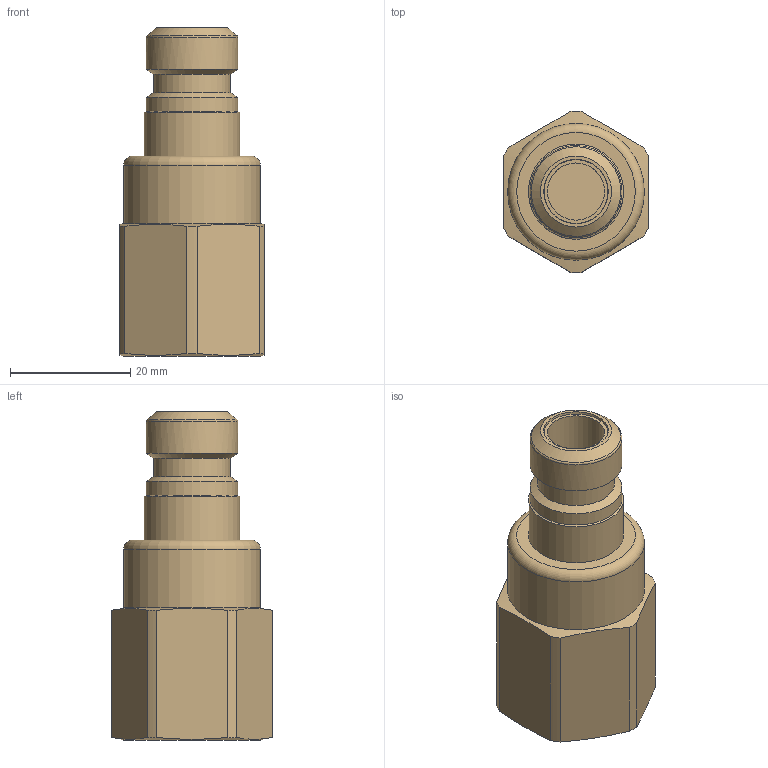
import cadquery as cq
import math

total_height = 54.5

hex_across_flats = 24.0
hex_corner_diameter = 26.8
hex_height = 22.0
hex_chamfer_angle = 12.0

shoulder_diameter = 22.7
shoulder_top = 33.2
shoulder_round = 1.5

barrel_diameter = 15.8
barrel_top = 40.5
barrel_bevel_height = 0.15
collar_diameter = 15.25
neck_diameter = 12.8
neck_bottom = 43.75
neck_top = 46.8
neck_flank_height = 0.8

nose_rim_diameter = 11.8
nose_cone_height = 1.4
nose_blend_radius = 0.5

mouth_diameter = 10.7
ledge_diameter = 10.6
ledge_depth = 0.4
bore_diameter = 9.5
bore_bottom = shoulder_top


def cylinder(diameter, bottom, top):
    return cq.Workplane("XY").workplane(offset=bottom).circle(diameter / 2).extrude(top - bottom)


def make_hex_base():
    """Hexagon with flats facing +X and -X, corners turned round, ends chamfered by a shallow cone."""
    prism = (
        cq.Workplane("XY")
        .polygon(6, hex_across_flats, circumscribed=True)
        .extrude(hex_height)
    )
    corner_radius = hex_corner_diameter / 2
    face_radius = shoulder_diameter / 2
    chamfer_drop = (corner_radius - face_radius) * math.tan(math.radians(hex_chamfer_angle))
    envelope = (
        cq.Workplane("XZ")
        .lineTo(face_radius, 0)
        .lineTo(corner_radius, chamfer_drop)
        .lineTo(corner_radius, hex_height - chamfer_drop)
        .lineTo(face_radius, hex_height)
        .lineTo(0, hex_height)
        .close()
        .revolve(360, (0, 0, 0), (0, 1, 0))
    )
    return prism.intersect(envelope)


def make_shoulder():
    shoulder = cylinder(shoulder_diameter, hex_height, shoulder_top)
    return shoulder.faces(">Z").edges().fillet(shoulder_round)


def make_stem():
    """Bevelled barrel, collar, locking neck with conical flanks, and nose, turned from one profile."""
    collar_radius = collar_diameter / 2
    neck_radius = neck_diameter / 2
    barrel_radius = barrel_diameter / 2
    cone_bottom = total_height - nose_cone_height
    stem = (
        cq.Workplane("XZ")
        .moveTo(0, shoulder_top)
        .lineTo(barrel_radius, shoulder_top)
        .lineTo(barrel_radius, barrel_top)
        .lineTo(collar_radius, barrel_top + barrel_bevel_height)
        .lineTo(collar_radius, neck_bottom - neck_flank_height)
        .lineTo(neck_radius, neck_bottom)
        .lineTo(neck_radius, neck_top)
        .lineTo(collar_radius, neck_top + neck_flank_height)
        .lineTo(collar_radius, cone_bottom)
        .lineTo(nose_rim_diameter / 2, total_height)
        .lineTo(0, total_height)
        .close()
        .revolve(360, (0, 0, 0), (0, 1, 0))
    )
    at_cone_bottom = cq.selectors.BoxSelector(
        (-collar_diameter, -collar_diameter, cone_bottom - nose_blend_radius),
        (collar_diameter, collar_diameter, cone_bottom + nose_blend_radius),
    )
    return stem.edges("%CIRCLE").edges(at_cone_bottom).fillet(nose_blend_radius)


def make_bore():
    bore = cylinder(bore_diameter, bore_bottom, total_height)
    mouth = (
        cq.Workplane("XY")
        .workplane(offset=total_height)
        .circle(mouth_diameter / 2)
        .workplane(offset=-ledge_depth)
        .circle(ledge_diameter / 2)
        .loft()
    )
    return bore.union(mouth)


result = make_hex_base().union(make_shoulder()).union(make_stem()).cut(make_bore())